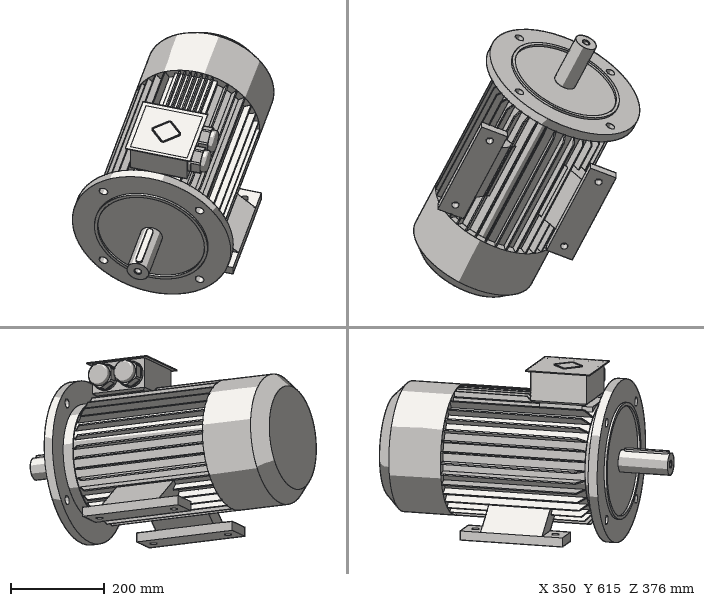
import cadquery as cq
import math


SHAFT_DIA = 48.0
SHAFT_LENGTH = 110.0
CENTRE_HOLE_DIA = 13.84
CENTRE_HOLE_DEPTH = 36.0
CENTRE_HOLE_TIP_ANGLE = 118.0
CENTRE_HOLE_CHAMFER = 1.6
KEY_WIDTH = 14.0
KEY_LENGTH = 100.0
KEY_TOP_Z = 27.5
KEY_END_GAP = 3.0

FLANGE_DIA = 350.0
FLANGE_THICKNESS = 20.0
FLANGE_HOLE_DIA = 19.0
FLANGE_HOLE_CIRCLE = 300.0
FLANGE_HOLE_COUNT = 4
FLANGE_HOLE_START_ANGLE = 45.0
SPIGOT_DIA = 250.0
SPIGOT_HEIGHT = 5.0
SPIGOT_RECESS_DIA = 236.0

SHIELD_END_Y = 43.0
CORE_DIA = 245.0
FRAME_DIA = 280.0
FIN_START_Y = 46.0
FIN_CHAMFER_LENGTH = 15.0
FIN_THICKNESS = 3.0
FIN_PITCH_ANGLE = 10
LAST_FIN_ANGLE = 60

PAD_WIDTH = 94.0
PAD_TOP_Z = 124.0
PAD_START_Y = 50.0
PAD_FIN_COUNT = 7
PAD_FIN_PITCH = 12.0
PAD_FIN_START_Y = 187.0
PAD_FIN_CHAMFER = 12.0

COWL_START_Y = 360.0
COWL_CONE_Y = 475.0
COWL_END_Y = 505.0
COWL_END_DIA = 222.0

BOX_CENTRE_Y = 120.5
BOX_WIDTH = 125.0
BOX_BOTTOM_Z = 128.0
BOX_CHAMFER = 6.0
BOX_CHAMFER_HEIGHT = 5.0
BOX_NECK_WIDTH = 95.0
LID_WIDTH = 143.0
LID_THICKNESS = 2.0
BADGE_TOP_Z = 201.0
BADGE_THICKNESS = 1.5
BADGE_SIDE = 48.0
BADGE_CORNER_RADIUS = 6.0
BADGE_RIM_WIDTH = 2.5
BADGE_RIM_HEIGHT = 0.8
BADGE_CENTRE_Y = 118.5
BADGE_ANGLE = 45.0
LID_TOP_Z = BADGE_TOP_Z - BADGE_THICKNESS
LID_BOTTOM_Z = LID_TOP_Z - LID_THICKNESS

GLAND_SPACING = 61.0
GLAND_Z = 164.5
GLAND_HEX_ACROSS_FLATS = 51.0
GLAND_BODY_DIA = 56.5
GLAND_HEX_START_X = 69.0
GLAND_HEX_END_X = 89.0
GLAND_CAP_END_X = 101.0
GLAND_CAP_DIA = 47.09
GLAND_CAP_FILLET = 4.0

AXIS_HEIGHT = 160.0
FOOT_THICKNESS = 20.0
FOOT_INNER_X = 97.0
FOOT_OUTER_X = 157.0
FOOT_LENGTH = 228.0
FOOT_CENTRE_Y = 197.0
FOOT_HOLE_DIA = 15.0
FOOT_HOLE_X = 127.0
FOOT_HOLE_SPACING_Y = 178.0
GUSSET_LENGTH = 137.0
GUSSET_SLOPE_ANGLE = 38.2
GUSSET_OUTER_RUN = 70.0
GUSSET_INNER_RUN = 42.0


def disc_y(diameter, start_y, end_y):
    """Cylinder on the shaft axis between two Y positions."""
    return cq.Workplane("XZ", origin=(0, start_y, 0)).circle(diameter / 2).extrude(start_y - end_y)


def disc_x(diameter, start_x, end_x, centre_y):
    """Cylinder along X on the axis of a cable gland."""
    plane = cq.Workplane("YZ", origin=(start_x, centre_y, GLAND_Z))
    return plane.circle(diameter / 2).extrude(end_x - start_x)


def block(x_range, y_range, z_range):
    """Box given by its limits along X, Y and Z."""
    size = [high - low for low, high in (x_range, y_range, z_range)]
    corner = (x_range[0], y_range[0], z_range[0])
    return cq.Workplane("XY").box(*size, centered=False).translate(corner)


def make_cowl():
    """Fan cowl with a conical rear end."""
    profile = [
        (0, COWL_START_Y),
        (FRAME_DIA / 2, COWL_START_Y),
        (FRAME_DIA / 2, COWL_CONE_Y),
        (COWL_END_DIA / 2, COWL_END_Y),
        (0, COWL_END_Y),
    ]
    return cq.Workplane("XY").polyline(profile).close().revolve(360, (0, 0, 0), (0, 1, 0))


def make_fins():
    """Radial fins all round the core, leaving out the stretch under the terminal box."""
    core_radius = CORE_DIA / 2
    frame_radius = FRAME_DIA / 2
    root_radius = core_radius - FIN_THICKNESS
    profile = [
        (root_radius, FIN_START_Y),
        (core_radius, FIN_START_Y),
        (frame_radius, FIN_START_Y + FIN_CHAMFER_LENGTH),
        (frame_radius, COWL_START_Y),
        (root_radius, COWL_START_Y),
    ]
    fin = cq.Workplane("XY").polyline(profile).close().extrude(FIN_THICKNESS / 2, both=True)
    first_angle = -180 - LAST_FIN_ANGLE
    fins = cq.Workplane("XY")
    for angle in range(first_angle, LAST_FIN_ANGLE + 1, FIN_PITCH_ANGLE):
        fins = fins.add(fin.rotate((0, 0, 0), (0, 1, 0), -angle))
    return fins.combine()


def make_pad():
    """Flat pad with upright fins whose tops follow the frame diameter."""
    half_width = PAD_WIDTH / 2
    pad = block((-half_width, half_width), (PAD_START_Y, COWL_START_Y), (0, PAD_TOP_Z))
    frame_radius = FRAME_DIA / 2
    for index in range(PAD_FIN_COUNT):
        x = (index - (PAD_FIN_COUNT - 1) / 2) * PAD_FIN_PITCH
        top_z = math.sqrt(frame_radius**2 - x**2)
        profile = [
            (PAD_FIN_START_Y, 0),
            (PAD_FIN_START_Y, top_z - PAD_FIN_CHAMFER),
            (PAD_FIN_START_Y + PAD_FIN_CHAMFER, top_z),
            (COWL_START_Y, top_z),
            (COWL_START_Y, 0),
        ]
        plane = cq.Workplane("YZ", origin=(x, 0, 0))
        pad = pad.union(plane.polyline(profile).close().extrude(FIN_THICKNESS / 2, both=True))
    return pad


def make_flange():
    """Mounting flange with a recessed spigot and bolt holes."""
    flange = disc_y(FLANGE_DIA, 0, FLANGE_THICKNESS)
    spigot = disc_y(SPIGOT_DIA, -SPIGOT_HEIGHT, 0).cut(disc_y(SPIGOT_RECESS_DIA, -SPIGOT_HEIGHT, 0))
    holes = (
        cq.Workplane("XZ")
        .polarArray(FLANGE_HOLE_CIRCLE / 2, FLANGE_HOLE_START_ANGLE, 360, FLANGE_HOLE_COUNT)
        .circle(FLANGE_HOLE_DIA / 2)
        .extrude(-FLANGE_THICKNESS)
    )
    return flange.cut(holes).union(spigot)


def make_shaft():
    """Shaft end with a round-ended key and a chamfered centre hole."""
    shaft = disc_y(SHAFT_DIA, -SHAFT_LENGTH, FLANGE_THICKNESS)
    key_centre_y = -SHAFT_LENGTH + KEY_END_GAP + KEY_LENGTH / 2
    key = cq.Workplane("XY").center(0, key_centre_y).slot2D(KEY_LENGTH, KEY_WIDTH, 90).extrude(KEY_TOP_Z)
    hole_radius = CENTRE_HOLE_DIA / 2
    hole_end_y = CENTRE_HOLE_DEPTH - SHAFT_LENGTH
    tip_length = hole_radius / math.tan(math.radians(CENTRE_HOLE_TIP_ANGLE / 2))
    hole_profile = [
        (0, -SHAFT_LENGTH),
        (hole_radius + CENTRE_HOLE_CHAMFER, -SHAFT_LENGTH),
        (hole_radius, -SHAFT_LENGTH + CENTRE_HOLE_CHAMFER),
        (hole_radius, hole_end_y),
        (0, hole_end_y + tip_length),
    ]
    centre_hole = cq.Workplane("XY").polyline(hole_profile).close().revolve(360, (0, 0, 0), (0, 1, 0))
    return shaft.union(key).cut(centre_hole)


def make_badge():
    """Diamond-shaped badge on the lid with rounded corners and a raised rim."""
    inner_side = BADGE_SIDE - 2 * BADGE_RIM_WIDTH
    badge = cq.Workplane("XY").rect(BADGE_SIDE, BADGE_SIDE).extrude(BADGE_THICKNESS)
    badge = badge.edges("|Z").fillet(BADGE_CORNER_RADIUS)
    inside = cq.Workplane("XY").rect(inner_side, inner_side).extrude(BADGE_RIM_HEIGHT)
    inside = inside.edges("|Z").fillet(BADGE_CORNER_RADIUS - BADGE_RIM_WIDTH)
    badge = badge.cut(inside.translate((0, 0, BADGE_THICKNESS - BADGE_RIM_HEIGHT)))
    return badge.rotate((0, 0, 0), (0, 0, 1), BADGE_ANGLE).translate((0, BADGE_CENTRE_Y, LID_TOP_Z))


def make_terminal_box():
    """Terminal box on a neck, with an overhanging lid and a raised badge."""
    base = cq.Workplane("XY", origin=(0, BOX_CENTRE_Y, BOX_BOTTOM_Z))
    bottom_width = BOX_WIDTH - 2 * BOX_CHAMFER
    lower = (
        base.rect(bottom_width, bottom_width)
        .workplane(offset=BOX_CHAMFER_HEIGHT)
        .rect(BOX_WIDTH, BOX_WIDTH)
        .loft(ruled=True)
    )
    walls_bottom_z = BOX_BOTTOM_Z + BOX_CHAMFER_HEIGHT
    walls = base.workplane(offset=BOX_CHAMFER_HEIGHT).rect(BOX_WIDTH, BOX_WIDTH)
    walls = walls.extrude(LID_BOTTOM_Z - walls_bottom_z)
    neck = base.rect(BOX_NECK_WIDTH, BOX_NECK_WIDTH).extrude(-BOX_BOTTOM_Z)
    lid = base.workplane(offset=LID_BOTTOM_Z - BOX_BOTTOM_Z).rect(LID_WIDTH, LID_WIDTH)
    lid = lid.extrude(LID_THICKNESS)
    return lower.union(walls).union(neck).union(lid).union(make_badge())


def make_gland(centre_y):
    """Cable gland: collar, hexagon with trimmed corners, and a rounded cap."""
    collar = disc_x(GLAND_BODY_DIA, BOX_WIDTH / 2, GLAND_HEX_START_X, centre_y)
    hexagon = (
        cq.Workplane("YZ", origin=(GLAND_HEX_START_X, centre_y, GLAND_Z))
        .polygon(6, GLAND_HEX_ACROSS_FLATS, circumscribed=True)
        .extrude(GLAND_HEX_END_X - GLAND_HEX_START_X)
    )
    trim = disc_x(GLAND_BODY_DIA, GLAND_HEX_START_X, GLAND_HEX_END_X, centre_y)
    cap = disc_x(GLAND_CAP_DIA, GLAND_HEX_END_X, GLAND_CAP_END_X, centre_y)
    cap = cap.faces(">X").edges().fillet(GLAND_CAP_FILLET)
    return collar.union(hexagon.intersect(trim)).union(cap)


def make_foot():
    """Foot on the +X side: drilled plate and a sloped gusset up to the core."""
    plate_top_z = FOOT_THICKNESS - AXIS_HEIGHT
    y_range = (FOOT_CENTRE_Y - FOOT_LENGTH / 2, FOOT_CENTRE_Y + FOOT_LENGTH / 2)
    plate = block((FOOT_INNER_X, FOOT_OUTER_X), y_range, (-AXIS_HEIGHT, plate_top_z))
    slope = math.tan(math.radians(GUSSET_SLOPE_ANGLE))
    gusset_profile = [
        (FOOT_OUTER_X, plate_top_z),
        (FOOT_OUTER_X - GUSSET_OUTER_RUN, plate_top_z + GUSSET_OUTER_RUN * slope),
        (FOOT_INNER_X - GUSSET_INNER_RUN, plate_top_z + GUSSET_INNER_RUN * slope),
        (FOOT_INNER_X, plate_top_z),
    ]
    plane = cq.Workplane("XZ", origin=(0, FOOT_CENTRE_Y, 0))
    gusset = plane.polyline(gusset_profile).close().extrude(GUSSET_LENGTH / 2, both=True)
    holes = (
        cq.Workplane("XY", origin=(FOOT_HOLE_X, FOOT_CENTRE_Y, -AXIS_HEIGHT))
        .rarray(1, FOOT_HOLE_SPACING_Y, 1, 2)
        .circle(FOOT_HOLE_DIA / 2)
        .extrude(FOOT_THICKNESS)
    )
    return plate.cut(holes).union(gusset)


result = disc_y(CORE_DIA, 0, COWL_START_Y)
result = result.union(disc_y(SPIGOT_DIA, 0, SHIELD_END_Y))
result = result.union(make_cowl())
result = result.union(make_fins())
result = result.union(make_pad())
result = result.union(make_flange())
result = result.union(make_shaft())
result = result.union(make_terminal_box())
for side in (-1, 1):
    result = result.union(make_gland(BOX_CENTRE_Y + side * GLAND_SPACING / 2))
foot = make_foot()
result = result.union(foot).union(foot.mirror("YZ"))